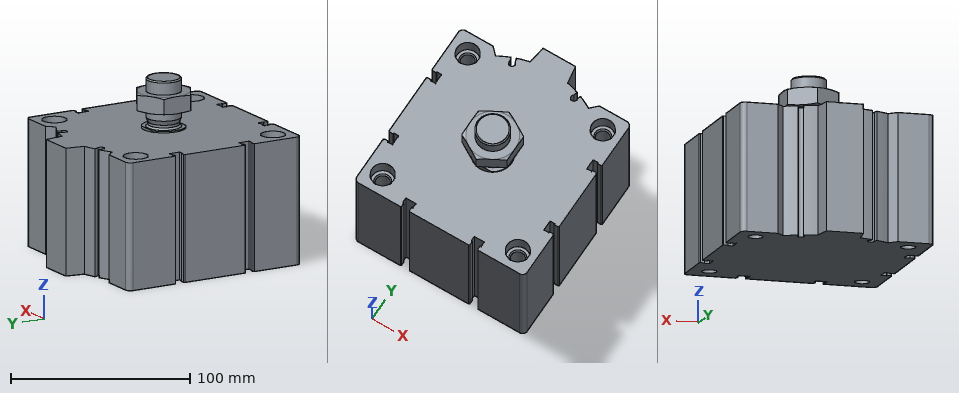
import cadquery as cq
import math

body_side = 112.2
body_height = 74.0
overall_depth = 125.9
overall_height = 103.0
half_side = body_side / 2
corner_radius = 3.0

rail_top_y = overall_depth - half_side
rail_top_width = 21.4
rail_base_width = 24.8
shoulder_radius = 60.0
notch_outer_x = 35.0

groove_round_diameter = 3.8
groove_round_x = 20.4
groove_round_y = 52.6
groove_mouth_width = 3.0
groove_tilt = 18.0

slot_offset = 22.5
slot_mouth_width = 5.2
slot_head_width = 6.5
slot_lip_depth = 3.0
slot_depth = 6.2
slot_edge_chamfer = 0.5

hole_spacing = 89.0
hole_diameter = 8.4
hole_chamfer_diameter = 10.1
counterbore_diameter = 14.0
counterbore_depth = 9.1

rod_diameter = 25.0
rod_depth = 12.6
rod_collar_top = 0.8
rod_flats_width = 22.0
thread_diameter = 20.0
neck_diameter = 17.9
neck_bottom = 1.9
neck_top = 3.4
thread_bottom = 6.0
thread_tip_diameter = 18.4

nut_across_flats = 30.0
nut_height = 10.0
nut_bottom = 11.2
nut_chamfer_angle = 15.0


def body_outline():
    """Square block with the rear rail, as a closed outline extruded upwards."""
    notch_reach = half_side - notch_outer_x
    notch_x = (math.sqrt(2 * shoulder_radius**2 - notch_reach**2) - notch_reach) / 2
    notch_y = notch_x + notch_reach
    rail_x = rail_base_width / 2
    rail_y = math.sqrt(shoulder_radius**2 - rail_x**2)
    middle_angle = (math.atan2(notch_x, notch_y) + math.atan2(rail_x, rail_y)) / 2
    middle_x = shoulder_radius * math.sin(middle_angle)
    middle_y = shoulder_radius * math.cos(middle_angle)
    block = (
        cq.Workplane("XY")
        .moveTo(-half_side, -half_side)
        .lineTo(half_side, -half_side)
        .lineTo(half_side, half_side)
        .lineTo(notch_outer_x, half_side)
        .lineTo(notch_x, notch_y)
        .threePointArc((middle_x, middle_y), (rail_x, rail_y))
        .lineTo(rail_top_width / 2, rail_top_y)
        .lineTo(-rail_top_width / 2, rail_top_y)
        .lineTo(-rail_x, rail_y)
        .threePointArc((-middle_x, middle_y), (-notch_x, notch_y))
        .lineTo(-notch_outer_x, half_side)
        .lineTo(-half_side, half_side)
        .close()
        .extrude(body_height)
    )
    for x in (-half_side, half_side):
        for y in (-half_side, half_side):
            near_corner = cq.selectors.BoxSelector(
                (x - corner_radius, y - corner_radius, 0),
                (x + corner_radius, y + corner_radius, body_height),
            )
            block = block.edges(near_corner).fillet(corner_radius)
    return block


def t_slot(side_angle, offset):
    """Cutter for a T-slot in the front side, turned to another side by side_angle."""
    mouth_x = slot_mouth_width / 2
    head_x = slot_head_width / 2
    right_half = [
        (mouth_x + slot_edge_chamfer, 0),
        (mouth_x, slot_edge_chamfer),
        (mouth_x, slot_lip_depth),
        (head_x, slot_lip_depth),
        (head_x, slot_depth),
    ]
    left_half = [(-x, y) for x, y in reversed(right_half)]
    return (
        cq.Workplane("XY", origin=(offset, -half_side, 0))
        .polyline(right_half + left_half)
        .close()
        .extrude(body_height)
        .rotate((0, 0, 0), (0, 0, 1), side_angle)
    )


def sensor_groove(side):
    """Cutter for a keyhole-shaped groove; side is -1 for left and +1 for right."""
    mouth_length = rail_top_y - groove_round_y
    round_end = cq.Workplane("XY").circle(groove_round_diameter / 2).extrude(body_height)
    mouth = (
        cq.Workplane("XY")
        .center(0, mouth_length / 2)
        .rect(groove_mouth_width, mouth_length)
        .extrude(body_height)
    )
    return (
        round_end.union(mouth)
        .rotate((0, 0, 0), (0, 0, 1), -side * groove_tilt)
        .translate((side * groove_round_x, groove_round_y, 0))
    )


def mounting_hole():
    """Cutter for a through hole with a counterbore and a 45-degree lead-in, on the Z axis."""
    floor_z = body_height - counterbore_depth
    hole_radius = hole_diameter / 2
    chamfer_radius = hole_chamfer_diameter / 2
    return (
        cq.Workplane("XZ")
        .moveTo(0, 0)
        .lineTo(hole_radius, 0)
        .lineTo(hole_radius, floor_z - (chamfer_radius - hole_radius))
        .lineTo(chamfer_radius, floor_z)
        .lineTo(counterbore_diameter / 2, floor_z)
        .lineTo(counterbore_diameter / 2, body_height)
        .lineTo(0, body_height)
        .close()
        .revolve(360, (0, 0, 0), (0, 1, 0))
    )


def make_body():
    body = body_outline()
    for side_angle in (-90, 0, 90):
        for offset in (-slot_offset, slot_offset):
            body = body.cut(t_slot(side_angle, offset))
    for side in (-1, 1):
        body = body.cut(sensor_groove(side))
        for end in (-1, 1):
            place = (side * hole_spacing / 2, end * hole_spacing / 2, 0)
            body = body.cut(mounting_hole().translate(place))
    rod_bore = (
        cq.Workplane("XY", origin=(0, 0, body_height - rod_depth))
        .circle(rod_diameter / 2)
        .extrude(rod_depth)
    )
    return body.cut(rod_bore)


def make_rod():
    """Rod with two wrench flats, a neck and a plain cylinder for the thread."""
    thread_top = overall_height - body_height
    tip_chamfer = (thread_diameter - thread_tip_diameter) / 2
    flare = neck_bottom - rod_collar_top
    lower = (
        cq.Workplane("XY")
        .circle(rod_diameter / 2)
        .extrude(rod_depth + rod_collar_top)
        .translate((0, 0, -rod_depth))
    )
    flats = cq.Workplane("XY").box(rod_diameter, rod_flats_width, 2 * (rod_depth + rod_collar_top))
    upper = (
        cq.Workplane("XZ")
        .moveTo(0, rod_collar_top)
        .lineTo(neck_diameter / 2 + flare, rod_collar_top)
        .lineTo(neck_diameter / 2, neck_bottom)
        .lineTo(neck_diameter / 2, neck_top)
        .lineTo(thread_diameter / 2, thread_bottom)
        .lineTo(thread_diameter / 2, thread_top - tip_chamfer)
        .lineTo(thread_tip_diameter / 2, thread_top)
        .lineTo(0, thread_top)
        .close()
        .revolve(360, (0, 0, 0), (0, 1, 0))
    )
    return lower.intersect(flats).union(upper).translate((0, 0, body_height))


def make_nut():
    """Hexagon nut with corners along Y and both faces chamfered to the inscribed circle."""
    corner_distance = nut_across_flats / 2 / math.cos(math.radians(30))
    face_radius = nut_across_flats / 2
    drop = (corner_distance - face_radius) * math.tan(math.radians(nut_chamfer_angle))
    hexagon = (
        cq.Workplane("XY")
        .polygon(6, 2 * corner_distance)
        .extrude(nut_height)
        .rotate((0, 0, 0), (0, 0, 1), 90)
    )
    chamfered_disc = (
        cq.Workplane("XZ")
        .moveTo(0, 0)
        .lineTo(face_radius, 0)
        .lineTo(corner_distance, drop)
        .lineTo(corner_distance, nut_height - drop)
        .lineTo(face_radius, nut_height)
        .lineTo(0, nut_height)
        .close()
        .revolve(360, (0, 0, 0), (0, 1, 0))
    )
    bore = cq.Workplane("XY").circle(thread_diameter / 2).extrude(nut_height)
    nut = hexagon.intersect(chamfered_disc).cut(bore)
    return nut.translate((0, 0, body_height + nut_bottom))


body = make_body()
rod = make_rod()
nut = make_nut()

result = cq.Compound.makeCompound([body.val(), rod.val(), nut.val()])